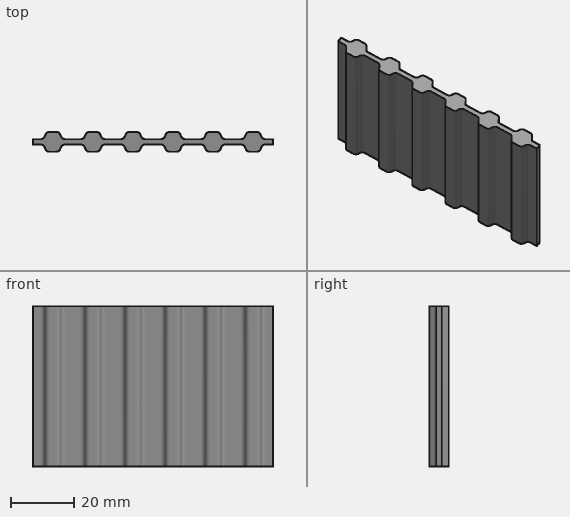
import cadquery as cq

panel_length = 76.2
panel_height = 50.8
overall_thickness = 6.3
web_thickness = 1.75
rib_count = 6
rib_root_width = 5.95
rib_crest_width = 4.05
bend_radius = 1.4

rib_pitch = panel_length / rib_count
rib_centers = [(i + 0.5) * rib_pitch - panel_length / 2 for i in range(rib_count)]


def make_web():
    """Flat sheet that joins the ribs."""
    return cq.Workplane("XY").box(panel_length, web_thickness, panel_height)


def make_rib(center_x):
    """Upright rib standing out of both faces of the web, with sharp corners."""
    half_root = rib_root_width / 2
    half_crest = rib_crest_width / 2
    half_web = web_thickness / 2
    half_thickness = overall_thickness / 2
    outline = [
        (-half_root, half_web),
        (-half_crest, half_thickness),
        (half_crest, half_thickness),
        (half_root, half_web),
        (half_root, -half_web),
        (half_crest, -half_thickness),
        (-half_crest, -half_thickness),
        (-half_root, -half_web),
    ]
    return (
        cq.Workplane("XY", origin=(center_x, 0, -panel_height / 2))
        .polyline(outline)
        .close()
        .extrude(panel_height)
    )


panel = make_web()
for rib_center in rib_centers:
    panel = panel.union(make_rib(rib_center))

result = panel.edges("(|Z) and (not (<X or >X))").fillet(bend_radius)